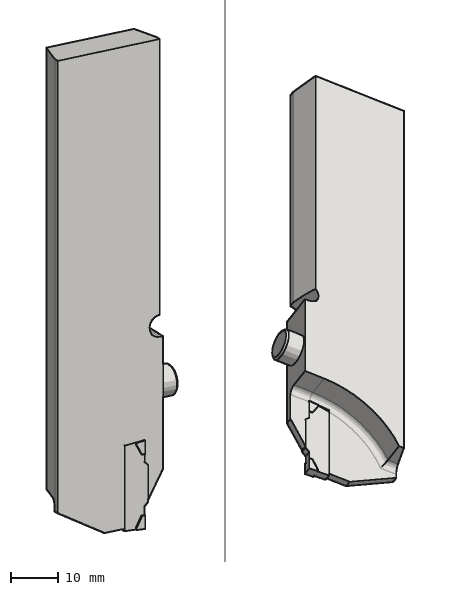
import cadquery as cq
import math

total_length = 110.8
shank_width = 25.0
thickness = 7.9
blade_face_x = 6.3
bevel_start_x = 6.5
bevel_depth = bevel_start_x * math.tan(math.radians(15))

head_width = 25.8
relief_diameter = 5.0
relief_z = 45.4
relief_y = shank_width

back_slope_top_z = 12.6
back_slope_angle = math.radians(60)
blade_bottom_z = 0.9
nose_slope_start_y = 11.4
front_edge_bottom_z = 7.6

recess_top_z = 21.5
recess_arc_radius = 20.5
recess_arc_y = 21.3
recess_front_z = 10.2
recess_fillet = 1.5

screw_diameter = 7.0
screw_x = 4.0
screw_z = 31.0
screw_tip_y = 29.9
screw_chamfer = 0.4

insert_length = 20.2
insert_front_y = 16.4
insert_back_y = 21.3
bulge_depth = 0.9
bulge_half_length = 4.2
insert_relief = 0.3
tip_min_x = 6.2
tip_max_x = 8.2
tip_length = 3.1
tip_shoulder_y = 20.5
tip_front_y = 19.2
tip_front_z = 0.7


def prism_along_x(outline, start_x, end_x):
    """Extrude a closed list of (y, z) points from start_x to end_x."""
    return (
        cq.Workplane("YZ", origin=(start_x, 0, 0))
        .polyline(outline)
        .close()
        .extrude(end_x - start_x)
    )


def make_blank():
    slope_end_y = insert_back_y + bulge_depth
    slope_end_z = back_slope_top_z - (head_width - slope_end_y) * math.tan(back_slope_angle)
    side = prism_along_x(
        [
            (0, total_length),
            (0, front_edge_bottom_z),
            (nose_slope_start_y, blade_bottom_z),
            (insert_front_y, blade_bottom_z),
            (slope_end_y, slope_end_z),
            (head_width, back_slope_top_z),
            (head_width, relief_z),
            (shank_width, relief_z),
            (shank_width, total_length),
        ],
        0,
        thickness,
    )
    front_bevel = (
        cq.Workplane("XY")
        .polyline([(0, 0), (bevel_start_x, 0), (0, bevel_depth)])
        .close()
        .extrude(total_length)
    )
    back_bevel = (
        cq.Workplane("XY", origin=(0, 0, relief_z))
        .polyline([(0, head_width), (0, shank_width - bevel_depth),
                   (bevel_start_x, shank_width), (bevel_start_x, head_width)])
        .close()
        .extrude(total_length - relief_z)
    )
    return side.cut(front_bevel).cut(back_bevel)


def make_relief():
    relief_radius = relief_diameter / 2
    slot_length = head_width - relief_y
    round_end = (
        cq.Workplane("YZ").center(relief_y, relief_z).circle(relief_radius).extrude(thickness)
    )
    mouth = cq.Workplane("XY").box(thickness, slot_length, relief_diameter, centered=(False, False, True))
    return round_end.union(mouth.translate((0, relief_y, relief_z)))


def recess_arc_point(height):
    """Point of the recess arc at the given Z, on its front half."""
    arc_centre_z = recess_top_z - recess_arc_radius
    rise = height - arc_centre_z
    return (recess_arc_y - math.sqrt(recess_arc_radius**2 - rise**2), height)


def make_recess():
    arc_middle_z = (recess_top_z + recess_front_z) / 2
    return (
        cq.Workplane("YZ")
        .moveTo(0, 0)
        .lineTo(head_width, 0)
        .lineTo(head_width, recess_top_z)
        .lineTo(recess_arc_y, recess_top_z)
        .threePointArc(recess_arc_point(arc_middle_z), recess_arc_point(recess_front_z))
        .lineTo(0, recess_front_z)
        .close()
        .extrude(blade_face_x)
    )


def round_recess_foot(body):
    """Fillet the inside edges where the recess wall meets the blade face."""
    reach = 0.01
    foot_zone = cq.selectors.BoxSelector(
        (blade_face_x - reach, -reach, recess_front_z - reach),
        (blade_face_x + reach, head_width - reach, recess_top_z + reach),
    )
    return body.edges(foot_zone).edges("not |Z").fillet(recess_fillet)


def make_screw_head():
    return (
        cq.Workplane("XZ", origin=(screw_x, screw_tip_y, screw_z))
        .circle(screw_diameter / 2)
        .extrude(screw_tip_y - head_width)
        .faces(">Y")
        .chamfer(screw_chamfer)
    )


def make_insert():
    middle_z = insert_length / 2
    bulge_top_z = middle_z + bulge_half_length
    bulge_bottom_z = middle_z - bulge_half_length
    core = prism_along_x(
        [
            (insert_front_y, insert_relief),
            (insert_back_y, 0),
            (insert_back_y, bulge_bottom_z - bulge_depth),
            (insert_back_y + bulge_depth, bulge_bottom_z),
            (insert_back_y + bulge_depth, bulge_top_z),
            (insert_back_y, bulge_top_z + bulge_depth),
            (insert_back_y, insert_length),
            (insert_front_y, insert_length - insert_relief),
        ],
        blade_face_x,
        thickness,
    )
    tip_relief = insert_relief * (insert_back_y - tip_front_y) / (insert_back_y - insert_front_y)
    lower_tip = prism_along_x(
        [
            (insert_back_y, 0),
            (insert_back_y, tip_length),
            (tip_shoulder_y, tip_length),
            (tip_front_y, tip_front_z),
            (tip_front_y, tip_relief),
        ],
        tip_min_x,
        tip_max_x,
    )
    upper_tip = lower_tip.mirror("XY", (0, 0, middle_z))
    return core.union(lower_tip).union(upper_tip)


insert = make_insert()
holder = round_recess_foot(make_blank().cut(make_recess()))
holder = holder.cut(make_relief()).union(make_screw_head()).cut(insert)

result = cq.Compound.makeCompound([holder.val(), insert.val()])